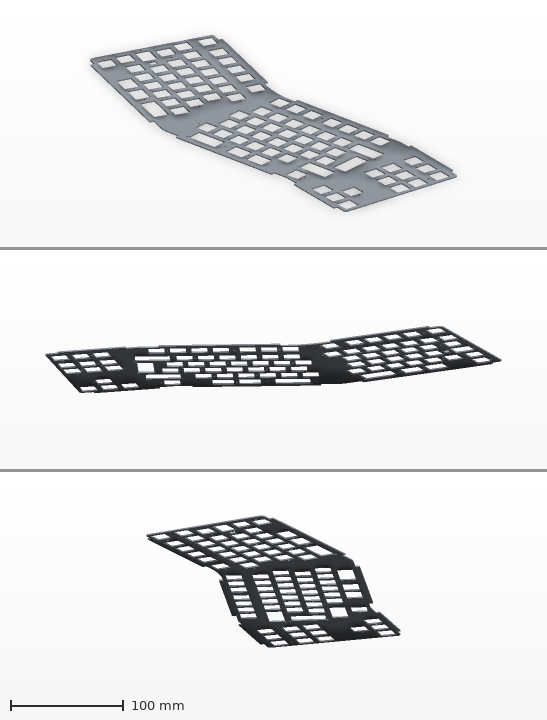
import cadquery as cq
import math

LENGTH = 387.5
DEPTH = 158.0
THICKNESS = 1.2
TILT = 12.0

TWELVE_KEY_SPAN = 228.5
PITCH = TWELVE_KEY_SPAN / 12
KEY_PAIR_SPAN = 33.5
KEY = KEY_PAIR_SPAN - PITCH
WIDE_KEY = KEY + PITCH / 4
LONG_KEY = 31.0
SCREW_HOLE = 2.0

FUNCTION_ROW = 1.25
BOTTOM_ROW = -4
NAV_BOTTOM_ROW = -2

EDGE_MARGIN = 10.5
LEFT_MARGIN = 11.0
TAB_HEIGHT = 4.0
NAV_TAB_HEIGHT = 3.5
CORNER_RADIUS = 3.0
UPPER_FOLD_RADIUS = 85.2
LOWER_FOLD_RADIUS = 27.0

LEFT_ORIGIN_Y = 36.5
RIGHT_ORIGIN = (-16.5, 14.0)
NAV_ORIGIN = (LENGTH / 2 - EDGE_MARGIN - PITCH, 0)

TURN = math.radians(TILT)
UPPER_EDGE = FUNCTION_ROW * PITCH + EDGE_MARGIN
LOWER_EDGE = BOTTOM_ROW * PITCH - EDGE_MARGIN
ROUNDING_LOSS = CORNER_RADIUS * (math.cos(TURN) + math.sin(TURN) - 1)
NEAR_CORNER_X = LOWER_EDGE * math.sin(TURN) - LEFT_MARGIN * math.cos(TURN) + ROUNDING_LOSS
LEFT_ORIGIN = (-LENGTH / 2 - NEAR_CORNER_X, LEFT_ORIGIN_Y)

LEFT_UPPER_TAB = (0.5, 98.0)
LEFT_LOWER_TAB = (0.8, 129.0)
RIGHT_UPPER_TAB = (8.5, 116.5)
RIGHT_LOWER_TAB = (-21.5, 92.0)

NAV_UPPER_TAB = (119.0, 181.3)
NAV_LOWER_TAB = (121.2, 181.3)



def key_run(first, count, row):
    """Centres of `count` neighbouring keys starting at column `first`."""
    return [(first + i, row) for i in range(count)]


LEFT_KEYS = (
    [(0, FUNCTION_ROW)] + key_run(1.25, 4, FUNCTION_ROW) + [(5.5, FUNCTION_ROW)]
    + key_run(0, 7, 0)
    + [(0.25, -1)] + key_run(1.5, 5, -1)
    + key_run(1.75, 5, -2)
    + [(0.125, -3)] + key_run(1.25, 6, -3)
    + [(0.25, BOTTOM_ROW)]
)
LEFT_WIDE_KEYS = [(0.25, -2), (2.625, BOTTOM_ROW), (3.875, BOTTOM_ROW)]
LEFT_LONG_KEYS = [(5.625, BOTTOM_ROW)]
LEFT_SCREWS = [
    (0.625, FUNCTION_ROW), (3.75, FUNCTION_ROW), (6, FUNCTION_ROW),
    (0.5, 0), (3.5, 0), (6.5, 0),
    (0.875, -1), (5, -1),
    (-0.375, -2), (3.25, -2), (6.25, -2),
    (1.75, -3), (4.75, -3),
    (-0.25, BOTTOM_ROW), (3.25, BOTTOM_ROW), (4.5, BOTTOM_ROW),
]

CAPS_SLOT_PLACE = (1.06, -2)
CAPS_SLOT_SIZE = (5.5, 6.2)

RIGHT_KEYS = (
    key_run(0, 3, FUNCTION_ROW) + key_run(3.25, 4, FUNCTION_ROW)
    + key_run(0, 6, 0)
    + key_run(-0.5, 7, -1)
    + key_run(-0.25, 7, -2)
    + key_run(-0.75, 6, -3)
    + [(5.75, BOTTOM_ROW)]
)
RIGHT_WIDE_KEYS = [(2.125, BOTTOM_ROW), (3.375, BOTTOM_ROW)]
RIGHT_LONG_KEYS = [(6.5, 0), (6.125, -3), (0.125, BOTTOM_ROW)]
ENTER_KEY = (6.875, -1.5)
RIGHT_SCREWS = [
    (0.5, FUNCTION_ROW), (2.625, FUNCTION_ROW), (5.75, FUNCTION_ROW),
    (1.5, 0), (4.5, 0),
    (0, -1), (3, -1),
    (1.25, -2), (4.25, -2),
    (-1.25, -3), (1.75, -3), (3.75, -3),
    (1.3, BOTTOM_ROW), (2.75, BOTTOM_ROW), (6.25, BOTTOM_ROW),
]

NAV_KEYS = (
    key_run(-1, 3, 3.25) + key_run(-1, 3, 2) + key_run(-1, 3, 1)
    + [(0, -1)] + key_run(-1, 3, NAV_BOTTOM_ROW)
)
NAV_SCREWS = [
    (-0.5, 3.25), (1, 2.625), (-0.5, 2), (0.5, 1),
    (0.5, -1), (-0.5, NAV_BOTTOM_ROW),
]

STAB_ALONG = 16.5
STAB_ACROSS = 7.5

SLOPE = math.tan(TURN)


def block_plane(origin, degrees):
    """Plane on the underside of the plate with its X axis along the key rows."""
    turn = math.radians(degrees)
    x_axis = (math.cos(turn), math.sin(turn), 0)
    return cq.Plane(origin=(*origin, 0), xDir=x_axis, normal=(0, 0, 1))


LEFT = block_plane(LEFT_ORIGIN, -TILT)
RIGHT = block_plane(RIGHT_ORIGIN, TILT)
NAV = block_plane(NAV_ORIGIN, 0)


def to_plate(block, along, across):
    """Plate coordinates of a point given in a block's own axes."""
    point = block.toWorldCoords((along, across))
    return (point.x, point.y)


def fold_point(left_point, right_point):
    """Where a left-block edge and a right-block edge meet."""
    (x1, y1), (x2, y2) = left_point, right_point
    x = (x1 + x2) / 2 + (y1 - y2) / (2 * SLOPE)
    return (x, y1 - SLOPE * (x - x1))


def level_point(right_point, y):
    """Where a right-block edge reaches the straight edge at height y."""
    return (right_point[0] + (y - right_point[1]) / SLOPE, y)


def tab(block, ends, edge, height):
    """The four outline points of a tab, in order of increasing X."""
    start, stop = ends
    return [
        to_plate(block, start, edge), to_plate(block, start, edge + height),
        to_plate(block, stop, edge + height), to_plate(block, stop, edge),
    ]


def make_plate():
    left_upper = tab(LEFT, LEFT_UPPER_TAB, UPPER_EDGE, TAB_HEIGHT)
    left_lower = tab(LEFT, LEFT_LOWER_TAB, LOWER_EDGE, -TAB_HEIGHT)
    right_upper = tab(RIGHT, RIGHT_UPPER_TAB, UPPER_EDGE, TAB_HEIGHT)
    right_lower = tab(RIGHT, RIGHT_LOWER_TAB, LOWER_EDGE, -TAB_HEIGHT)

    far_left = to_plate(LEFT, -LEFT_MARGIN, UPPER_EDGE)
    near_left = to_plate(LEFT, -LEFT_MARGIN, LOWER_EDGE)
    upper_fold = fold_point(left_upper[-1], right_upper[0])
    lower_fold = fold_point(left_lower[-1], right_lower[0])

    right_edge = LENGTH / 2
    lowest = min(left_lower[2][1], right_lower[1][1])
    nav_far = lowest + DEPTH - NAV_TAB_HEIGHT
    nav_near = NAV_ORIGIN[1] + NAV_BOTTOM_ROW * PITCH - EDGE_MARGIN
    nav_upper = tab(cq.Plane.XY(), NAV_UPPER_TAB, nav_far, NAV_TAB_HEIGHT)
    nav_lower = tab(cq.Plane.XY(), NAV_LOWER_TAB, nav_near, -NAV_TAB_HEIGHT)
    far_right = (right_edge, nav_far)
    near_right = (right_edge, nav_near)

    far_side = (
        [far_left] + left_upper + [upper_fold] + right_upper
        + [level_point(right_upper[-1], nav_far)] + nav_upper + [far_right]
    )
    near_side = (
        [near_left] + left_lower + [lower_fold] + right_lower
        + [level_point(right_lower[-1], nav_near)] + nav_lower + [near_right]
    )
    plate = cq.Workplane("XY").polyline(far_side + near_side[::-1]).close().extrude(THICKNESS)

    roundings = [(point, CORNER_RADIUS) for point in (far_left, near_left, far_right, near_right)]
    roundings += [(upper_fold, UPPER_FOLD_RADIUS), (lower_fold, LOWER_FOLD_RADIUS)]
    for (x, y), radius in roundings:
        corner = cq.selectors.NearestToPointSelector((x, y, THICKNESS / 2))
        plate = plate.edges("|Z").edges(corner).fillet(radius)
    return plate


def on_grid(block, places):
    """Workplane with a point at each (column, row) place of a block."""
    return cq.Workplane(block).pushPoints([(PITCH * col, PITCH * row) for col, row in places])


def openings(block, places, length, width=KEY):
    return on_grid(block, places).rect(length, width).extrude(THICKNESS)


def screw_holes(block, places):
    return on_grid(block, places).circle(SCREW_HOLE / 2).extrude(THICKNESS)


def stabiliser_hole(block, place, along, across):
    """Hole beside a long opening, offset from the opening's centre."""
    centre = (PITCH * place[0] + along, PITCH * place[1] + across)
    return cq.Workplane(block).center(*centre).circle(SCREW_HOLE / 2).extrude(THICKNESS)


BACKSPACE, RIGHT_SHIFT, RIGHT_SPACE = RIGHT_LONG_KEYS
[LEFT_SPACE] = LEFT_LONG_KEYS

CUTTERS = [
    openings(LEFT, LEFT_KEYS, KEY),
    openings(LEFT, LEFT_WIDE_KEYS, WIDE_KEY),
    openings(LEFT, LEFT_LONG_KEYS, LONG_KEY),
    openings(LEFT, [CAPS_SLOT_PLACE], *CAPS_SLOT_SIZE),
    screw_holes(LEFT, LEFT_SCREWS),
    openings(RIGHT, RIGHT_KEYS, KEY),
    openings(RIGHT, RIGHT_WIDE_KEYS, WIDE_KEY),
    openings(RIGHT, RIGHT_LONG_KEYS, LONG_KEY),
    openings(RIGHT, [ENTER_KEY], KEY, LONG_KEY),
    screw_holes(RIGHT, RIGHT_SCREWS),
    openings(NAV, NAV_KEYS, KEY),
    screw_holes(NAV, NAV_SCREWS),
    stabiliser_hole(LEFT, LEFT_SPACE, STAB_ALONG, -STAB_ACROSS),
    stabiliser_hole(RIGHT, BACKSPACE, STAB_ALONG, -STAB_ACROSS),
    stabiliser_hole(RIGHT, RIGHT_SHIFT, -STAB_ALONG, -STAB_ACROSS),
    stabiliser_hole(RIGHT, RIGHT_SPACE, -STAB_ALONG, -STAB_ACROSS),
    stabiliser_hole(RIGHT, ENTER_KEY, STAB_ACROSS, STAB_ALONG),
    stabiliser_hole(RIGHT, ENTER_KEY, STAB_ACROSS, -STAB_ALONG),
]

result = make_plate()
for cutter in CUTTERS:
    result = result.cut(cutter)